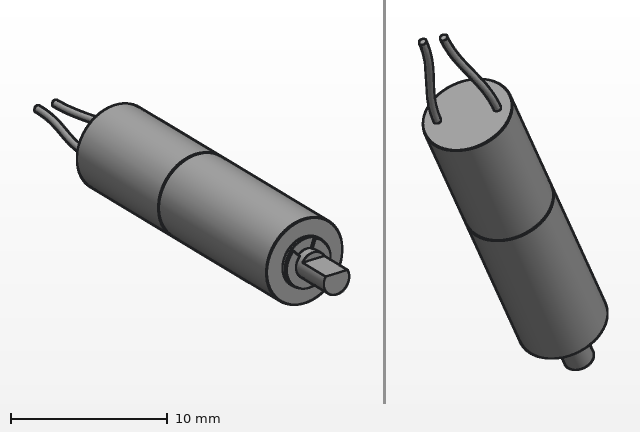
import cadquery as cq
import math


overall_length = 31.77

housing_diameter = 6.0
housing_radius = housing_diameter / 2
motor_length = 9.0
gearhead_end = 20.8
edge_chamfer = 0.048

wire_radius = 0.25
wire_reach = 7.47
wire_base_offset = 2.0
wire_tip_offset = 0.7

shaft_diameter = 2.0
shaft_radius = shaft_diameter / 2
shaft_end = overall_length - wire_reach
flat_start = 21.75
flat_height = 0.5

collar_radius = 1.75
collar_end = 21.05
ring_thickness = 0.2
ring_end = collar_end + ring_thickness
ring_radius = 1.7
ring_gap_start = 72
ring_gap_angle = 62


def cylinder(start, end, radius):
    """Cylinder along the X axis between two stations."""
    return cq.Workplane("YZ", origin=(start, 0, 0)).circle(radius).extrude(end - start)


def make_wire(side):
    """Lead that leaves the rear face along -X and bends in an S toward the axis."""
    base = (0, side * wire_base_offset)
    tip = (-wire_reach, side * wire_tip_offset)
    path = cq.Workplane("XY").spline([base, tip], tangents=[(-1, 0), (-1, 0)])
    section = cq.Workplane("YZ", origin=(0, side * wire_base_offset, 0)).circle(wire_radius)
    return section.sweep(path)


def make_housing(start, end):
    """Cylindrical housing with a fine chamfer on both end edges."""
    return cylinder(start, end, housing_radius).faces("<X or >X").chamfer(edge_chamfer)


def make_motor():
    motor = make_housing(0, motor_length)
    for side in (-1, 1):
        motor = motor.union(make_wire(side))
    return motor


def make_retaining_ring():
    """Ring around the shaft, open over a sector near +Z."""
    ring = cylinder(collar_end, ring_end, ring_radius)
    gap_reach = 2 * ring_radius
    gap_corners = [(0, 0)]
    for angle in (ring_gap_start, ring_gap_start + ring_gap_angle):
        direction = math.radians(angle)
        gap_corners.append((gap_reach * math.cos(direction), gap_reach * math.sin(direction)))
    gap = cq.Workplane("YZ", origin=(collar_end, 0, 0)).polyline(gap_corners).close().extrude(ring_thickness)
    return ring.cut(gap)


def make_shaft():
    """Round shaft with a flat on its +Z side."""
    shaft = cylinder(collar_end, shaft_end, shaft_radius)
    flat = cq.Workplane("XY", origin=(flat_start, 0, flat_height)).box(
        shaft_end - flat_start, shaft_diameter, shaft_radius, centered=(False, True, False)
    )
    return shaft.cut(flat)


def make_gearhead():
    housing = make_housing(motor_length, gearhead_end)
    collar = cylinder(gearhead_end, collar_end, collar_radius)
    return housing.union(collar).union(make_retaining_ring()).union(make_shaft())


motor = make_motor()
gearhead = make_gearhead()

result = cq.Compound.makeCompound([motor.solids().val(), gearhead.solids().val()])